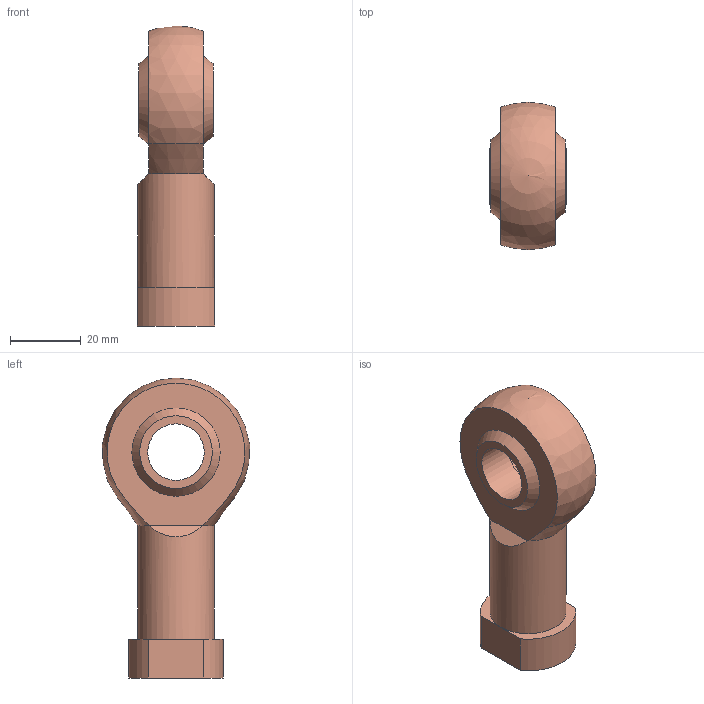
import cadquery as cq
import math

eye_height = 64.0
eye_radius = 21.0
eye_width = 15.5

ball_width = 21.0
ball_face_radius = 10.3
ball_edge_radius = 12.5
bore_diameter = 16.0

shank_radius = 10.8
shank_top = 43.2
flare_bottom = 40.0

collar_diameter = 27.0
collar_height = 11.0
collar_across_flats = 22.0


def make_body():
    """Shank, tapered neck and spherical head, revolved about Z."""
    drop = eye_height - shank_top
    rim_angle = math.atan2(shank_radius, drop)
    tangent_angle = rim_angle + math.acos(eye_radius / math.hypot(shank_radius, drop))
    tangent_point = (
        eye_radius * math.sin(tangent_angle),
        eye_height - eye_radius * math.cos(tangent_angle),
    )
    return (
        cq.Workplane("XZ")
        .lineTo(shank_radius, 0)
        .lineTo(shank_radius, shank_top)
        .lineTo(*tangent_point)
        .threePointArc((eye_radius, eye_height), (0, eye_height + eye_radius))
        .close()
        .revolve(360, (0, 0, 0), (0, 1, 0))
    )


def make_side_envelope():
    """Parallel head faces that slope out below the neck to the full shank."""
    half_width = eye_width / 2
    return (
        cq.Workplane("XZ")
        .moveTo(-shank_radius, 0)
        .lineTo(shank_radius, 0)
        .lineTo(shank_radius, flare_bottom)
        .lineTo(half_width, shank_top)
        .lineTo(half_width, eye_height + eye_radius)
        .lineTo(-half_width, eye_height + eye_radius)
        .lineTo(-half_width, shank_top)
        .lineTo(-shank_radius, flare_bottom)
        .close()
        .extrude(eye_radius, both=True)
    )


def make_collar():
    """Round wrench collar with two flats facing +X and -X."""
    flats = cq.Workplane("XY").rect(collar_across_flats, collar_diameter).extrude(collar_height)
    return cq.Workplane("XY").circle(collar_diameter / 2).extrude(collar_height).intersect(flats)


def make_ball():
    """Ball protruding from both head faces, revolved about the bore axis."""
    half_ball = ball_width / 2
    half_width = eye_width / 2
    return (
        cq.Workplane("XY")
        .moveTo(-half_ball, 0)
        .lineTo(-half_ball, ball_face_radius)
        .lineTo(-half_width, ball_edge_radius)
        .lineTo(half_width, ball_edge_radius)
        .lineTo(half_ball, ball_face_radius)
        .lineTo(half_ball, 0)
        .close()
        .revolve(360, (0, 0, 0), (1, 0, 0))
        .translate((0, 0, eye_height))
    )


def make_bore():
    """Through hole of the ball along X."""
    return (
        cq.Workplane("YZ")
        .center(0, eye_height)
        .circle(bore_diameter / 2)
        .extrude(ball_width, both=True)
    )


body = make_body().intersect(make_side_envelope())
result = body.union(make_collar()).union(make_ball()).cut(make_bore())